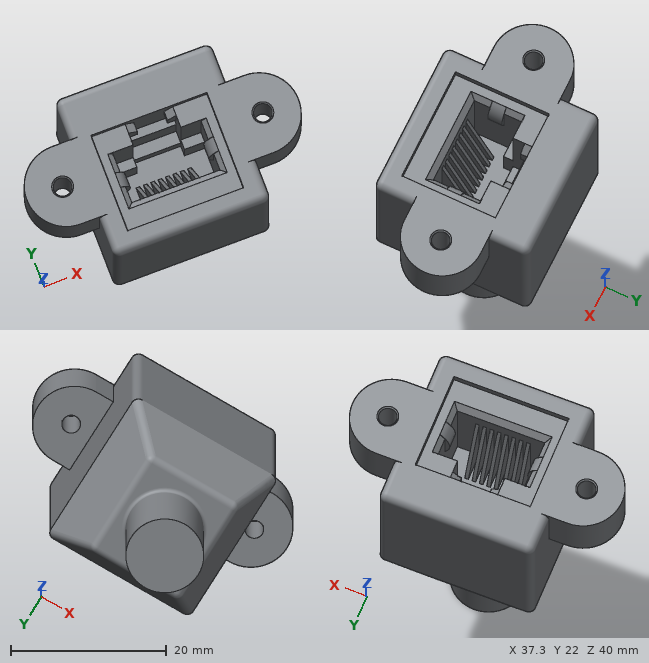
import cadquery as cq
import math


body_length_x = 21.4
body_width_y = 22.0
body_height = 19.0
taper_height = 10.0
taper_end_x = 13.2
taper_end_y = 14.8
tail_center_y = -0.5
edge_radius = 1.0

total_height = 40.0
tail_diameter = 10.0
neck_radius = 0.5
taper_end_z = -(body_height + taper_height)
tail_length = total_height + taper_end_z

overall_length_x = 37.3
ear_width = 10.8
ear_thickness = 7.0
screw_spacing = 27.5
screw_hole_diameter = 2.4
screw_chamfer = 0.2

recess_half_x = 7.95
recess_y_min = -8.35
recess_y_max = 5.0
jack_face_z = -1.0

cavity_half_x = 6.05
cavity_y_min = -4.75
cavity_y_max = 2.1
cavity_floor_z = -13.0
mouth_half_x = 6.75
mouth_y_min = -5.55
mouth_depth = 0.8

latch_half_x = 3.27
latch_channel_y = 3.75
latch_channel_floor_z = -11.0
latch_slot_floor_z = -6.7
stop_width = 1.2
stop_slope_height = 1.0
stop_bottom_z = -3.75

ledge_y = 0.75
ledge_z = -9.0

contact_count = 8
contact_pitch = 1.01
contact_width = 0.5
contact_center_x = -0.27
contact_tip_y = -1.0
contact_angle = 68.0

spring_y_min = -2.5
spring_y_max = -0.5
spring_tip_x = 5.4
spring_half_height = 2.7


def box(x_min, x_max, y_min, y_max, z_min, z_max):
    """Axis-aligned block given by its limits."""
    size = (x_max - x_min, y_max - y_min, z_max - z_min)
    return cq.Workplane("XY").box(*size, centered=False).translate((x_min, y_min, z_min))


def both_sides(shape):
    """The shape together with its mirror image across the YZ plane."""
    return shape.union(shape.mirror("YZ"))


def make_boot():
    """Rectangular boot that tapers to an offset end; the joint between the two stays sharp."""
    block = cq.Workplane("XY").rect(body_length_x, body_width_y).extrude(-body_height)
    taper = (
        cq.Workplane("XY", origin=(0, 0, -body_height))
        .rect(body_length_x, body_width_y)
        .workplane(offset=-taper_height)
        .center(0, tail_center_y)
        .rect(taper_end_x, taper_end_y)
        .loft(ruled=True)
    )
    rounded_block = block.edges("|Z or >Z").fillet(edge_radius)
    rounded_taper = taper.edges("not >Z").fillet(edge_radius)
    return rounded_block.union(rounded_taper)


def make_tail():
    """Cable tail with a concave fillet where it meets the boot."""
    radius = tail_diameter / 2
    arc_offset = neck_radius * (1 - math.sqrt(0.5))
    return (
        cq.Workplane("XZ")
        .moveTo(0, 0)
        .lineTo(radius + neck_radius, 0)
        .threePointArc((radius + arc_offset, -arc_offset), (radius, -neck_radius))
        .lineTo(radius, -tail_length)
        .lineTo(0, -tail_length)
        .close()
        .revolve(360, (0, 0, 0), (0, 1, 0))
        .translate((0, tail_center_y, taper_end_z))
    )


def make_ears():
    """Flat bar with round ends that passes through the top of the boot."""
    return cq.Workplane("XY").slot2D(overall_length_x, ear_width).extrude(-ear_thickness)


def make_screw_holes():
    """Through holes in the ears, chamfered at the top."""
    hole_radius = screw_hole_diameter / 2
    centers = [(-screw_spacing / 2, 0), (screw_spacing / 2, 0)]
    shafts = cq.Workplane("XY").pushPoints(centers).circle(hole_radius).extrude(-ear_thickness)
    for x, y in centers:
        cone = cq.Solid.makeCone(
            hole_radius + screw_chamfer,
            hole_radius,
            screw_chamfer,
            cq.Vector(x, y, 0),
            cq.Vector(0, 0, -1),
        )
        shafts = shafts.union(cq.Workplane(cone))
    return shafts


def make_mouth():
    """Bevelled entry on both X sides and the -Y side of the plug cavity."""
    return (
        cq.Workplane("XY", origin=(0, 0, jack_face_z))
        .center(0, (mouth_y_min + cavity_y_max) / 2)
        .rect(2 * mouth_half_x, cavity_y_max - mouth_y_min)
        .workplane(offset=-mouth_depth)
        .center(0, (cavity_y_min - mouth_y_min) / 2)
        .rect(2 * cavity_half_x, cavity_y_max - cavity_y_min)
        .loft(ruled=True)
    )


def make_latch_stop():
    """Stop on the +X wall of the latch slot, with a sloped top."""
    tip_x = latch_half_x - stop_width
    return (
        cq.Workplane("XZ", origin=(0, recess_y_max, 0))
        .moveTo(latch_half_x, jack_face_z)
        .lineTo(tip_x, jack_face_z - stop_slope_height)
        .lineTo(tip_x, stop_bottom_z)
        .lineTo(latch_half_x, stop_bottom_z)
        .close()
        .extrude(recess_y_max - latch_channel_y)
    )


def make_jack_opening():
    """Everything removed from the boot to form the jack."""
    recess = box(-recess_half_x, recess_half_x, recess_y_min, recess_y_max, jack_face_z, 0)
    cavity = box(-cavity_half_x, cavity_half_x, cavity_y_min, cavity_y_max, cavity_floor_z, jack_face_z)
    ledge = box(latch_half_x, cavity_half_x, ledge_y, cavity_y_max, cavity_floor_z, ledge_z)
    channel = box(
        -latch_half_x, latch_half_x, cavity_y_max, latch_channel_y, latch_channel_floor_z, jack_face_z
    )
    slot = box(
        -latch_half_x, latch_half_x, latch_channel_y, recess_y_max, latch_slot_floor_z, jack_face_z
    )
    slot = slot.cut(both_sides(make_latch_stop()))
    return cavity.cut(both_sides(ledge)).union(channel).union(slot).union(make_mouth()).union(recess)


def make_contacts():
    """Row of ramps that fall from the -Y cavity wall to the cavity floor."""
    ramp_length = contact_tip_y - cavity_y_min
    ramp_height = ramp_length * math.tan(math.radians(contact_angle))
    contacts = cq.Workplane("XY")
    for index in range(contact_count):
        center_x = contact_center_x + (index - (contact_count - 1) / 2) * contact_pitch
        ramp = (
            cq.Workplane("YZ", origin=(center_x - contact_width / 2, 0, 0))
            .moveTo(cavity_y_min, cavity_floor_z)
            .lineTo(contact_tip_y, cavity_floor_z)
            .lineTo(cavity_y_min, cavity_floor_z + ramp_height)
            .close()
            .extrude(contact_width)
        )
        contacts = contacts.union(ramp)
    return contacts


def make_spring():
    """Bowed spring on the +X wall, starting at the jack face."""
    middle_z = jack_face_z - spring_half_height
    end_z = middle_z - spring_half_height
    return (
        cq.Workplane("XZ", origin=(0, spring_y_max, 0))
        .moveTo(mouth_half_x, jack_face_z)
        .threePointArc((spring_tip_x, middle_z), (mouth_half_x, end_z))
        .close()
        .extrude(spring_y_max - spring_y_min)
    )


result = (
    make_boot()
    .union(make_tail())
    .union(make_ears())
    .cut(make_screw_holes())
    .cut(make_jack_opening())
    .union(make_contacts())
    .union(both_sides(make_spring()))
)